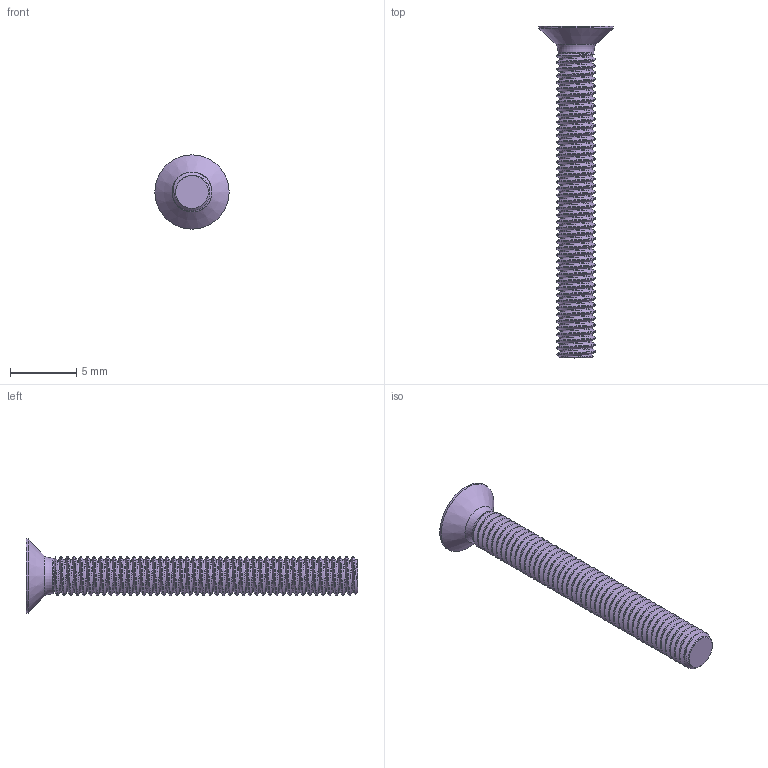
import cadquery as cq
import math


overall_length = 25.0
head_radius = 2.8
head_rim = 0.15
cone_end_depth = 1.38
cone_end_radius = 1.5
neck_radius = 1.35
neck_curve_depth = 1.97
neck_end_depth = 2.1

thread_radius = 1.5
pitch = 0.5
flank_half_angle = math.radians(30)
sharp_height = pitch / (2 * math.tan(flank_half_angle))
thread_depth = 5 / 8 * sharp_height
root_radius = thread_radius - thread_depth
crest_width = pitch / 8
helix_start_depth = 2.0
start_chamfer = thread_radius - neck_radius
tip_chamfer = thread_depth

turns_per_section = 4
section_length = turns_per_section * pitch

ridge_overlap = 0.02

envelope_clearance = 0.02


def make_head_and_core():
    """Revolve the head, curved neck and thread core about the Y axis, drawn from the tip up."""
    return (
        cq.Workplane("XY")
        .moveTo(0, -overall_length)
        .lineTo(root_radius, -overall_length)
        .lineTo(root_radius, -neck_end_depth)
        .lineTo(neck_radius, -neck_end_depth)
        .lineTo(neck_radius, -neck_curve_depth)
        .tangentArcPoint((cone_end_radius, -cone_end_depth), relative=False)
        .lineTo(head_radius, -head_rim)
        .lineTo(head_radius, 0)
        .lineTo(0, 0)
        .close()
        .revolve(360, (0, 0), (0, 1))
    )


def make_helix_path():
    """Helix about Z, joined from short arcs and running past the tip so it can be trimmed there."""
    ridge_length = overall_length - helix_start_depth + pitch
    section_count = math.ceil(ridge_length / section_length)
    section = cq.Wire.makeHelix(pitch, section_length, root_radius).Edges()[0]
    sections = []
    for index in range(section_count):
        sections.append(section.translate(cq.Vector(0, 0, index * section_length)))
    return cq.Wire.assembleEdges(sections)


def make_thread_ridge():
    """Sweep the ridge profile along the helix and lay it along Y, below the head."""
    inner_radius = root_radius - ridge_overlap
    half_crest = crest_width / 2
    half_base = half_crest + (thread_depth + ridge_overlap) * math.tan(flank_half_angle)
    ridge = (
        cq.Workplane("XZ")
        .moveTo(inner_radius, -half_base)
        .lineTo(thread_radius, -half_crest)
        .lineTo(thread_radius, half_crest)
        .lineTo(inner_radius, half_base)
        .close()
        .sweep(cq.Workplane(obj=make_helix_path()), isFrenet=True)
    )
    return ridge.rotate((0, 0, 0), (1, 0, 0), 90).translate((0, -helix_start_depth, 0))


def make_thread_envelope():
    """Cylinder that trims both ends of the thread with a chamfer."""
    return (
        cq.Workplane("XZ", origin=(0, -neck_end_depth, 0))
        .circle(thread_radius + envelope_clearance)
        .extrude(overall_length - neck_end_depth)
        .faces(">Y")
        .chamfer(start_chamfer + envelope_clearance)
        .faces("<Y")
        .chamfer(tip_chamfer + envelope_clearance)
    )


thread = make_thread_ridge().intersect(make_thread_envelope())
result = make_head_and_core().union(thread).solids()